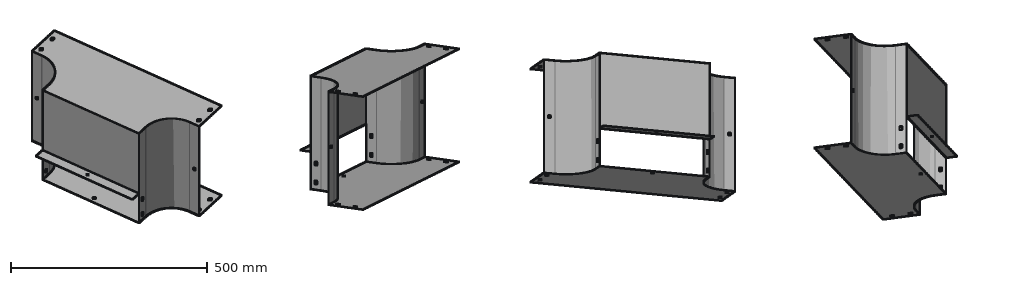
import cadquery as cq
import math

sheet = 1.0
run_length = 520.0
depth = 240.0
height = 300.0
run_width = 100.0
branch_width = 300.0
bend_radius = 80.0
flange_length = 30.0
panel_height = 200.0

edge_inset = 15.0
pitch = 50.0
first_slot = 20.0
slot_width = 7.0
slot_length = 10.3
fixing_hole_diameter = 7.0
flange_hole_diameter = 5.0

half_run = run_length / 2
half_branch = branch_width / 2
back_y = depth / 2
wing_y = back_y - run_width
flange_end_y = -back_y
front_y = flange_end_y + flange_length
bend_start_x = half_branch + bend_radius
bend_end_y = wing_y - bend_radius
panel_bottom = height - panel_height
slot_offsets = (first_slot, first_slot + pitch)


def block(x_range, y_range, z_range):
    """Axis-aligned box between the given limits."""
    size = [high - low for low, high in (x_range, y_range, z_range)]
    corner = (x_range[0], y_range[0], z_range[0])
    return cq.Workplane("XY").box(*size, centered=False).translate(corner)


def tee_plate(bottom_z):
    """Tee-shaped plate with concave quarter-circle corners."""
    corner_offset = bend_radius * math.sqrt(0.5)
    arc_mid_x = bend_start_x - corner_offset
    arc_mid_y = bend_end_y + corner_offset
    return (
        cq.Workplane("XY", origin=(0, 0, bottom_z))
        .moveTo(-half_run, back_y)
        .lineTo(half_run, back_y)
        .lineTo(half_run, wing_y)
        .lineTo(bend_start_x, wing_y)
        .threePointArc((arc_mid_x, arc_mid_y), (half_branch, bend_end_y))
        .lineTo(half_branch, front_y)
        .lineTo(-half_branch, front_y)
        .lineTo(-half_branch, bend_end_y)
        .threePointArc((-arc_mid_x, arc_mid_y), (-bend_start_x, wing_y))
        .lineTo(-half_run, wing_y)
        .close()
        .extrude(sheet)
    )


def right_corner_wall():
    """Full-height wall from the +X run end, round the bend, to the branch mouth."""
    run_leg = block((bend_start_x, half_run), (wing_y, wing_y + sheet), (0, height))
    branch_leg = block((half_branch - sheet, half_branch), (front_y, bend_end_y), (0, height))
    ring = (
        cq.Workplane("XY", origin=(bend_start_x, bend_end_y, 0))
        .circle(bend_radius + sheet)
        .circle(bend_radius)
        .extrude(height)
    )
    quadrant = block((half_branch - sheet, bend_start_x), (bend_end_y, wing_y + sheet), (0, height))
    return run_leg.union(branch_leg).union(ring.intersect(quadrant))


def front_panel():
    """Panel closing the upper branch mouth, bent outwards into the coupling flange."""
    panel = block((-half_branch, half_branch), (front_y - sheet, front_y), (panel_bottom, height))
    flange = block(
        (-half_branch, half_branch),
        (flange_end_y, front_y),
        (panel_bottom - sheet, panel_bottom),
    )
    return panel.union(flange)


def run_end_slots():
    """Slot pairs through both plates at both run ends."""
    slot_x = half_run - edge_inset
    points = [(x, wing_y + offset) for x in (-slot_x, slot_x) for offset in slot_offsets]
    return cq.Workplane("XY").pushPoints(points).slot2D(slot_length, slot_width, 90).extrude(height)


def branch_wall_slots():
    """Slot pairs low in both branch side walls."""
    points = [(front_y + edge_inset, offset) for offset in slot_offsets]
    return (
        cq.Workplane("YZ")
        .pushPoints(points)
        .slot2D(slot_length, slot_width, 90)
        .extrude(half_run, both=True)
    )


def run_wall_holes():
    """One round hole at mid-height in the straight leg at each run end."""
    hole_x = half_run - edge_inset
    return (
        cq.Workplane("XZ", origin=(0, wing_y, 0))
        .pushPoints([(-hole_x, height / 2), (hole_x, height / 2)])
        .circle(fixing_hole_diameter / 2)
        .extrude(2 * sheet, both=True)
    )


def centre_hole(center_y, diameter, top_z):
    """Vertical round hole on the centre line, from the floor level up to top_z."""
    return (
        cq.Workplane("XY")
        .center(0, center_y)
        .circle(diameter / 2)
        .extrude(top_z)
    )


right_wall = right_corner_wall()
body = tee_plate(0).union(tee_plate(height - sheet))
body = body.union(right_wall).union(right_wall.mirror("YZ")).union(front_panel())
body = body.cut(run_end_slots()).cut(branch_wall_slots()).cut(run_wall_holes())
body = body.cut(centre_hole(flange_end_y + edge_inset, flange_hole_diameter, height))
body = body.cut(centre_hole(front_y + edge_inset, fixing_hole_diameter, panel_bottom))

result = body